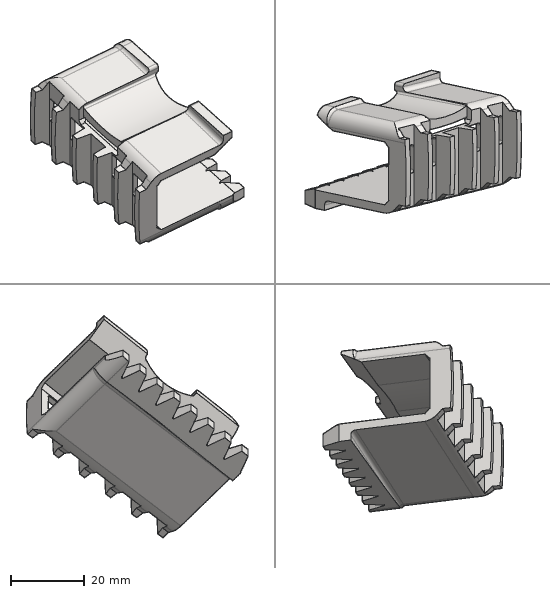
import cadquery as cq
import math

length = 50.0
height = 28.45
foot_end = 32.0
tooth_end = 37.1
end_round = 4.0
oversize = 60.0
margin = 0.5
half_length = length / 2
middle = height / 2

tilt_slope = 0.05
tilt = math.atan(tilt_slope)
arm_half_height = 12.6
lip_start = 28.6
lip_fillet = 1.35
cut_height = 6.0

rib_half_height = 9.4
chamfer_start = 2.5
chamfer_blend = 5.5

wall_inside = 6.15
lower_arm_top = 5.25
upper_arm_bottom = 23.0
inside_chamfer = 1.4
upper_arm_end = 31.6
lip_underside = 26.35
ramp_end = 25.65

rib_count = 6
rib_pitch = 9.6
rib_crest_width = 1.8
rib_root_width = 2.95
web_face = 4.65
crest_bow = 0.8
window_width = 6.5
window_height = 7.9
window_middle = 16.95
window_round = 0.75

saddle_width = 17.9
saddle_edge_top = 26.1
saddle_fillet = 0.6
saddle_fall = 1.1
saddle_middle_top = 25.1
saddle_middle_bottom = 22.6
opening_floor = 21.5
opening_chamfer = 0.95
lip_corner_round = 0.9

tooth_count = 8
tooth_pitch = length / tooth_count
tooth_root_width = 5.95
tooth_tip_width = 2.3
tooth_slope_start = 32.75
tooth_tip_height = 3.8


def along_x(outline):
    """Extrude a closed (Y, Z) outline evenly to both sides of X = 0."""
    return outline.close().extrude(oversize / 2, both=True)


def half_turn(body):
    """Turn a body 180 degrees about the Y-parallel axis at mid height."""
    return body.rotate((0, 0, middle), (0, 1, middle), 180)


def make_block():
    block = cq.Workplane("XY").box(length, foot_end, height, centered=(True, False, False))
    return block.edges("|Y and <X and >Z").fillet(end_round).edges("|Y and >X and <Z").fillet(end_round)


def make_arm_face_cutter():
    """Space above the tilted upper arm face; it follows the rounded -X edge and ends in the lip fillet."""
    def face_height(x):
        return middle + arm_half_height - tilt_slope * x

    start = (oversize / 2, 0, face_height(oversize / 2))
    center_x = end_round - half_length
    center_z = face_height(center_x) - end_round / math.cos(tilt)

    def on_round(angle):
        return (center_x + end_round * math.cos(angle), 0, center_z + end_round * math.sin(angle))

    face_angle = math.pi / 2 - tilt
    face_edge = cq.Edge.makeLine(cq.Vector(start), cq.Vector(on_round(face_angle)))
    round_edge = cq.Edge.makeThreePointArc(
        cq.Vector(on_round(face_angle)),
        cq.Vector(on_round((face_angle + math.pi) / 2)),
        cq.Vector(on_round(math.pi)),
    )
    path = cq.Wire.assembleEdges([face_edge, round_edge])
    section_plane = cq.Plane(
        origin=start, xDir=(0, -1, 0), normal=(-math.cos(tilt), 0, math.sin(tilt))
    )
    return (
        cq.Workplane(section_plane)
        .moveTo(margin, 0)
        .lineTo(lip_fillet - lip_start, 0)
        .radiusArc((-lip_start, lip_fillet), lip_fillet)
        .lineTo(-lip_start, cut_height)
        .lineTo(margin, cut_height)
        .close()
        .sweep(path)
    )


def make_rear_corner_cutter():
    """Space outside the tilted upper rear corner: rib ends, chamfer and blend."""
    face = middle + arm_half_height
    rib_end = middle + rib_half_height
    corner = chamfer_start + face - rib_end
    chamfer_angle = math.pi / 4
    blend_reach = chamfer_blend * math.tan(chamfer_angle / 2)
    diagonal_reach = blend_reach * math.cos(chamfer_angle)
    outline = (
        cq.Workplane("YZ")
        .moveTo(-margin, rib_end)
        .lineTo(chamfer_start, rib_end)
        .lineTo(corner - diagonal_reach, face - diagonal_reach)
        .radiusArc((corner + blend_reach, face), chamfer_blend)
        .lineTo(corner + blend_reach, 2 * height)
        .lineTo(-margin, 2 * height)
    )
    return along_x(outline).rotate((0, 0, middle), (0, 1, middle), math.degrees(tilt))


def make_inside():
    """Space between the two arms."""
    outline = (
        cq.Workplane("YZ")
        .moveTo(oversize, lower_arm_top)
        .lineTo(wall_inside + inside_chamfer, lower_arm_top)
        .lineTo(wall_inside, lower_arm_top + inside_chamfer)
        .lineTo(wall_inside, upper_arm_bottom - inside_chamfer)
        .lineTo(wall_inside + inside_chamfer, upper_arm_bottom)
        .lineTo(oversize, upper_arm_bottom)
    )
    return along_x(outline)


def make_tip_cutter():
    """Space in front of the upper arm's tip and below its sloped underside."""
    slope = (lip_underside - upper_arm_bottom) / (upper_arm_end - ramp_end)
    outline = (
        cq.Workplane("YZ")
        .moveTo(upper_arm_end, height + margin)
        .lineTo(upper_arm_end, lip_underside)
        .lineTo(upper_arm_end - (lip_underside - opening_floor) / slope, opening_floor)
        .lineTo(oversize, opening_floor)
        .lineTo(oversize, height + margin)
    )
    return along_x(outline)


def make_rib_gaps():
    """Tapered gaps between neighbouring ribs, down to the web face."""
    gaps = cq.Workplane("XY")
    root_half = (rib_pitch - rib_root_width) / 2
    crest_half = (rib_pitch - rib_crest_width) / 2
    for i in range(rib_count - 1):
        x = (i - (rib_count - 2) / 2) * rib_pitch
        gap = (
            cq.Workplane("XY")
            .polyline([
                (x - crest_half, 0),
                (x + crest_half, 0),
                (x + root_half, web_face),
                (x - root_half, web_face),
            ])
            .close()
            .extrude(height)
        )
        gaps = gaps.add(gap)
    return gaps.combine()


def make_crest_cutter():
    """Space outside the rib crests, which bow slightly outward at mid height."""
    outline = (
        cq.Workplane("YZ")
        .moveTo(crest_bow, 0)
        .threePointArc((0, middle), (crest_bow, height))
        .lineTo(-margin, height)
        .lineTo(-margin, 0)
    )
    return along_x(outline)


def make_windows():
    centers = [(i * rib_pitch, window_middle) for i in (-2, -1, 1, 2)]
    return (
        cq.Workplane("XZ", origin=(0, wall_inside + margin, 0))
        .pushPoints(centers)
        .rect(window_width, window_height)
        .extrude(wall_inside + margin)
        .edges("|Y")
        .fillet(window_round)
    )


def make_opening():
    """Gap in the upper arm and wall, with a chamfered floor and flared top corners."""
    half = saddle_width / 2
    shoulder = height - lip_corner_round
    return (
        cq.Workplane("XZ", origin=(0, foot_end, 0))
        .moveTo(opening_chamfer - half, opening_floor)
        .lineTo(half - opening_chamfer, opening_floor)
        .lineTo(half, opening_floor + opening_chamfer)
        .lineTo(half, shoulder)
        .radiusArc((half + lip_corner_round, height), lip_corner_round)
        .lineTo(-half - lip_corner_round, height)
        .radiusArc((-half, shoulder), lip_corner_round)
        .lineTo(-half, opening_floor + opening_chamfer)
        .close()
        .extrude(foot_end)
    )


def make_saddle():
    """Bridge across the opening, with a round trough on top that sinks slightly toward the tip."""
    half = saddle_width / 2
    trough_half = half - saddle_fillet
    blank_top = saddle_edge_top + saddle_fillet
    saddle = (
        cq.Workplane("XZ", origin=(0, foot_end, 0))
        .moveTo(-half, upper_arm_bottom)
        .threePointArc((0, saddle_middle_bottom), (half, upper_arm_bottom))
        .lineTo(half, blank_top)
        .lineTo(-half, blank_top)
        .close()
        .extrude(foot_end - wall_inside)
    )
    trough = (
        cq.Workplane("XZ", origin=(0, oversize, 0))
        .moveTo(-trough_half, saddle_edge_top)
        .threePointArc((0, saddle_middle_top), (trough_half, saddle_edge_top))
        .radiusArc((half, blank_top), -saddle_fillet)
        .lineTo(half, height)
        .lineTo(-half, height)
        .lineTo(-half, blank_top)
        .radiusArc((-trough_half, saddle_edge_top), -saddle_fillet)
        .close()
        .extrude(2 * oversize)
        .rotate((0, wall_inside, saddle_middle_top), (1, wall_inside, saddle_middle_top), -saddle_fall)
    )
    return saddle.cut(trough)


def make_teeth():
    """Tapered teeth with sloped tops, clipped to the rounded +X lower edge."""
    teeth = cq.Workplane("XY")
    for i in range(tooth_count):
        x = (i - (tooth_count - 1) / 2) * tooth_pitch
        tooth = (
            cq.Workplane("XY")
            .polyline([
                (x - tooth_root_width / 2, foot_end),
                (x + tooth_root_width / 2, foot_end),
                (x + tooth_tip_width / 2, tooth_end),
                (x - tooth_tip_width / 2, tooth_end),
            ])
            .close()
            .extrude(lower_arm_top)
        )
        teeth = teeth.add(tooth)
    side = along_x(
        cq.Workplane("YZ")
        .moveTo(foot_end, 0)
        .lineTo(tooth_end, 0)
        .lineTo(tooth_end, tooth_tip_height)
        .lineTo(tooth_slope_start, lower_arm_top)
        .lineTo(foot_end, lower_arm_top)
    )
    rounded = make_block().translate((0, foot_end, 0))
    return teeth.combine().intersect(side).intersect(rounded)


arm_face_cutter = make_arm_face_cutter()
rear_corner_cutter = make_rear_corner_cutter()

result = (
    make_block()
    .cut(arm_face_cutter)
    .cut(half_turn(arm_face_cutter))
    .cut(rear_corner_cutter)
    .cut(half_turn(rear_corner_cutter))
    .cut(make_crest_cutter())
    .cut(make_inside())
    .cut(make_rib_gaps())
    .cut(make_windows())
    .cut(make_opening())
    .union(make_saddle())
    .cut(make_tip_cutter())
    .union(make_teeth())
)